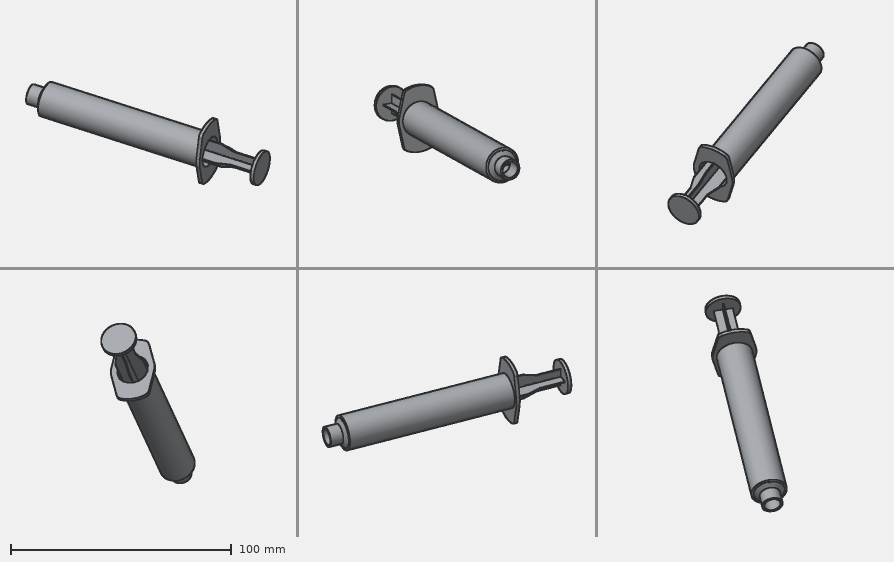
import cadquery as cq
import math

NOZZLE_END = 6.1
BORE_START = 7.7
CONE_END = 7.9
FLANGE_START = 89.5
FLANGE_END = 91.3
TAPER_START = 97.3
TAPER_END = 103.9
TOTAL_LENGTH = 117.8

NOZZLE_RADIUS = 9.5 / 2
NOZZLE_BORE_RADIUS = 7.5 / 2
BARREL_RADIUS = 16.5 / 2
BARREL_BORE_RADIUS = 14.4 / 2

FLANGE_HALF_WIDTH = 20.4 / 2
FLANGE_HALF_HEIGHT = 31.5 / 2
FLANGE_CORNER_RADIUS = 2.8
FLANK_ANGLE = 12.9

RIB_WIDE = 13.1
RIB_NARROW = 8.8
RIB_THICKNESS = 0.6
DISC_RADIUS = 16.1 / 2
DISC_THICKNESS = 1.8
DISC_START = TOTAL_LENGTH - DISC_THICKNESS


def polar(radius, degrees):
    """Point (y, z) at a given radius and angle from +Y."""
    angle = math.radians(degrees)
    return radius * math.cos(angle), radius * math.sin(angle)


def upper_right_corner():
    """Start, middle and end (y, z) of the rounded corner in the +Y +Z quadrant."""
    center_radius = FLANGE_HALF_HEIGHT - FLANGE_CORNER_RADIUS
    flank_distance = FLANGE_HALF_WIDTH - FLANGE_CORNER_RADIUS
    end_angle = FLANK_ANGLE + math.degrees(math.acos(flank_distance / center_radius))
    center_y, center_z = polar(center_radius, end_angle)
    corner = []
    for angle in (FLANK_ANGLE, (FLANK_ANGLE + end_angle) / 2, end_angle):
        y, z = polar(FLANGE_CORNER_RADIUS, angle)
        corner.append((center_y + y, center_z + z))
    return corner


def mirrored(points, y_sign, z_sign):
    return [(y_sign * y, z_sign * z) for y, z in points]


def make_flange():
    corner = upper_right_corner()
    side_y, side_z = polar(FLANGE_HALF_WIDTH, FLANK_ANGLE)
    upper_left = mirrored(corner, -1, 1)
    lower_left = mirrored(corner, -1, -1)
    lower_right = mirrored(corner, 1, -1)
    return (
        cq.Workplane("YZ", origin=(FLANGE_START, 0, 0))
        .moveTo(side_y, -side_z)
        .threePointArc((FLANGE_HALF_WIDTH, 0), (side_y, side_z))
        .lineTo(*corner[0])
        .threePointArc(corner[1], corner[2])
        .threePointArc((0, FLANGE_HALF_HEIGHT), upper_left[2])
        .threePointArc(upper_left[1], upper_left[0])
        .lineTo(-side_y, side_z)
        .threePointArc((-FLANGE_HALF_WIDTH, 0), (-side_y, -side_z))
        .lineTo(*lower_left[0])
        .threePointArc(lower_left[1], lower_left[2])
        .threePointArc((0, -FLANGE_HALF_HEIGHT), lower_right[2])
        .threePointArc(lower_right[1], lower_right[0])
        .close()
        .extrude(FLANGE_END - FLANGE_START)
    )


def x_cylinder(start, end, radius):
    """Cylinder on the syringe axis between two stations."""
    return cq.Workplane("YZ", origin=(start, 0, 0)).circle(radius).extrude(end - start)


def make_barrel_body():
    """Solid of revolution about X: nozzle, cone and cylinder."""
    return (
        cq.Workplane("XY")
        .polyline([
            (0, 0),
            (0, NOZZLE_RADIUS),
            (NOZZLE_END, NOZZLE_RADIUS),
            (CONE_END, BARREL_RADIUS),
            (FLANGE_END, BARREL_RADIUS),
            (FLANGE_END, 0),
        ])
        .close()
        .revolve(360, (0, 0, 0), (1, 0, 0))
    )


def make_barrel():
    nozzle_bore = x_cylinder(0, BORE_START, NOZZLE_BORE_RADIUS)
    main_bore = x_cylinder(BORE_START, FLANGE_END, BARREL_BORE_RADIUS)
    return make_barrel_body().union(make_flange()).cut(nozzle_bore).cut(main_bore)


def make_rib():
    """Flat blade in the XY plane, from the start of the main bore to the thumb disc."""
    half_wide = RIB_WIDE / 2
    half_narrow = RIB_NARROW / 2
    return (
        cq.Workplane("XY")
        .polyline([
            (BORE_START, -half_wide),
            (TAPER_START, -half_wide),
            (TAPER_END, -half_narrow),
            (DISC_START, -half_narrow),
            (DISC_START, half_narrow),
            (TAPER_END, half_narrow),
            (TAPER_START, half_wide),
            (BORE_START, half_wide),
        ])
        .close()
        .extrude(RIB_THICKNESS / 2, both=True)
    )


def make_plunger():
    rib = make_rib()
    crossed_rib = rib.rotate((0, 0, 0), (1, 0, 0), 90)
    thumb_disc = x_cylinder(DISC_START, TOTAL_LENGTH, DISC_RADIUS)
    return thumb_disc.union(rib).union(crossed_rib)


barrel = make_barrel()
plunger = make_plunger()

result = cq.Compound.makeCompound([barrel.val(), plunger.val()])